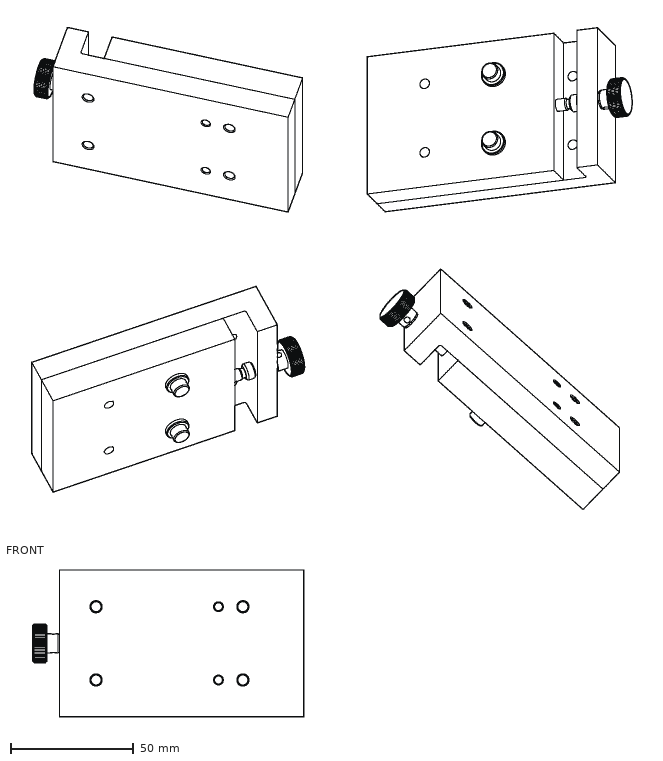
import cadquery as cq
import math


base_length = 100.0
width = 60.0
overall_thickness = 22.0
floor_thickness = 10.0
flange_thickness = 9.0
slide_start = 19.0
inner_corner_radius = 1.0

row_spacing = 30.0
row_z = (-row_spacing / 2, row_spacing / 2)
near_mounting_hole_x = 15.0
far_mounting_hole_x = 75.0
mounting_hole_diameter = 4.1
mounting_countersink_diameter = 5.0
blind_hole_x = 65.0
blind_hole_diameter = 3.2
blind_countersink_diameter = 4.0
blind_hole_depth = 8.0

lock_screw_x = 45.0
lock_flange_diameter = 10.0
lock_flange_height = 1.5
lock_head_diameter = 7.0
lock_screw_height = 5.5
lock_flange_chamfer = 0.3
lock_head_chamfer = 0.4

screw_axis_depth = 4.4
screw_axis_y = overall_thickness - screw_axis_depth
knob_reach = 11.0
knob_start = -knob_reach
knob_length = 6.0
knob_diameter = 16.0
knob_chamfer = 0.8
knurl_count = 72
knurl_depth = 0.7
bevel_overshoot = 0.5
hub_diameter = 8.0
shoulder_diameter = 7.5
shoulder_length = 0.7
cross_hole_diameter = 2.4
cross_hole_x = -2.4
journal_diameter = 5.5
collar_diameter = 7.0
collar_length = 4.0
collar_rear_chamfer = 0.5
collar_front_chamfer = 0.8
neck_diameter = 4.1
neck_length = 1.4
tip_diameter = 5.0
tip_cone_length = 0.5


def drill(x, z, diameter, countersink_diameter, depth):
    """Cutter for a countersunk hole entering the mounting face."""
    radius = diameter / 2
    rim_radius = countersink_diameter / 2
    rim_depth = rim_radius - radius
    profile = [(0, 0), (rim_radius, 0), (radius, rim_depth), (radius, depth), (0, depth)]
    cutter = cq.Workplane("XY").polyline(profile).close().revolve(360, (0, 0), (0, 1))
    return cutter.translate((x, 0, z))


def cut_mounting_face_holes(body):
    """Cut the through holes and the blind holes of the mounting face."""
    for z in row_z:
        for x in (near_mounting_hole_x, far_mounting_hole_x):
            body = body.cut(
                drill(x, z, mounting_hole_diameter, mounting_countersink_diameter, overall_thickness)
            )
        body = body.cut(
            drill(blind_hole_x, z, blind_hole_diameter, blind_countersink_diameter, blind_hole_depth)
        )
    return body


def make_base():
    """L-shaped base: a floor plate with a flange that carries the thumb screw."""
    outline = [
        (0, 0),
        (base_length, 0),
        (base_length, floor_thickness),
        (flange_thickness, floor_thickness),
        (flange_thickness, overall_thickness),
        (0, overall_thickness),
    ]
    base = cq.Workplane("XY").polyline(outline).close().extrude(width / 2, both=True)
    inner_corner = cq.selectors.NearestToPointSelector((flange_thickness, floor_thickness, 0))
    base = base.edges("|Z").edges(inner_corner).fillet(inner_corner_radius)
    journal_bore = (
        cq.Workplane("YZ").center(screw_axis_y, 0).circle(journal_diameter / 2).extrude(flange_thickness)
    )
    return cut_mounting_face_holes(base.cut(journal_bore))


def make_slide():
    """Rectangular slide block on the base floor, with the far mounting holes continued through it."""
    slide_length = base_length - slide_start
    slide_thickness = overall_thickness - floor_thickness
    slide = (
        cq.Workplane("XY")
        .box(slide_length, slide_thickness, width, centered=(False, False, True))
        .translate((slide_start, floor_thickness, 0))
    )
    for z in row_z:
        through_hole = (
            cq.Workplane("XZ").center(far_mounting_hole_x, z)
            .circle(mounting_hole_diameter / 2).extrude(-overall_thickness)
        )
        slide = slide.cut(through_hole)
    return slide


def make_lock_screw(z):
    """Flanged lock screw head standing on the back of the slide."""
    flange = (
        cq.Workplane("XZ").circle(lock_flange_diameter / 2).extrude(-lock_flange_height)
        .faces(">Y").edges().chamfer(lock_flange_chamfer)
    )
    head = (
        cq.Workplane("XZ").circle(lock_head_diameter / 2).extrude(-lock_screw_height)
        .faces(">Y").edges().chamfer(lock_head_chamfer)
    )
    return flange.union(head).translate((lock_screw_x, overall_thickness, z))


def make_knob():
    """Knurled disc with bevelled rims and straight V grooves around its edge."""
    crest_radius = knob_diameter / 2
    root_radius = crest_radius - knurl_depth
    half_pitch = math.pi / knurl_count
    points = []
    for index in range(2 * knurl_count):
        radius = root_radius if index % 2 else crest_radius
        points.append((radius * math.cos(index * half_pitch), radius * math.sin(index * half_pitch)))
    knob = cq.Workplane("YZ").polyline(points).close().extrude(knob_length)
    bevel_outline = [
        (0, 0),
        (0, crest_radius - knob_chamfer),
        (knob_chamfer + bevel_overshoot, crest_radius + bevel_overshoot),
        (knob_length - knob_chamfer - bevel_overshoot, crest_radius + bevel_overshoot),
        (knob_length, crest_radius - knob_chamfer),
        (knob_length, 0),
    ]
    bevel_envelope = cq.Workplane("XY").polyline(bevel_outline).close().revolve(360, (0, 0), (1, 0))
    return knob.intersect(bevel_envelope).translate((knob_start, 0, 0))


def make_shaft():
    """Stepped shaft from the knob, through the flange, up to the slide."""
    hub_start = knob_start + knob_length
    collar_end = flange_thickness + collar_length
    neck_end = collar_end + neck_length
    hub_radius = hub_diameter / 2
    shoulder_radius = shoulder_diameter / 2
    journal_radius = journal_diameter / 2
    collar_radius = collar_diameter / 2
    neck_radius = neck_diameter / 2
    tip_radius = tip_diameter / 2
    profile = [
        (hub_start, 0),
        (hub_start, hub_radius),
        (-shoulder_length, hub_radius),
        (-shoulder_length, shoulder_radius),
        (0, shoulder_radius),
        (0, journal_radius),
        (flange_thickness, journal_radius),
        (flange_thickness, collar_radius - collar_rear_chamfer),
        (flange_thickness + collar_rear_chamfer, collar_radius),
        (collar_end - collar_front_chamfer, collar_radius),
        (collar_end, collar_radius - collar_front_chamfer),
        (collar_end, neck_radius),
        (neck_end, neck_radius),
        (neck_end + tip_cone_length, tip_radius),
        (slide_start, tip_radius),
        (slide_start, 0),
    ]
    return cq.Workplane("XY").polyline(profile).close().revolve(360, (0, 0), (1, 0))


def make_thumb_screw():
    """Knob and shaft in one piece, with a cross hole through the hub."""
    cross_hole = (
        cq.Workplane("XY").center(cross_hole_x, 0)
        .circle(cross_hole_diameter / 2).extrude(hub_diameter, both=True)
    )
    screw = make_knob().union(make_shaft()).cut(cross_hole)
    return screw.translate((0, screw_axis_y, 0))


base = make_base()
slide = make_slide()
thumb_screw = make_thumb_screw()
lock_screws = [make_lock_screw(z) for z in row_z]

result = cq.Compound.makeCompound(
    [base.val(), slide.val(), thumb_screw.val(), *[screw.val() for screw in lock_screws]]
)